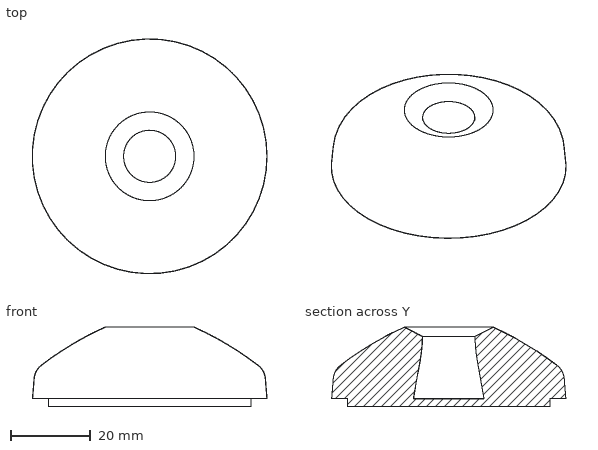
import cadquery as cq
import math

outer_radius = 29.5
total_height = 20.0

spigot_radius = 25.5
spigot_height = 2.0

rim_top_radius = 29.1
rim_top_z = 7.0
dome_edge_radius = 27.25
dome_edge_z = 10.4

recess_radius = 11.15
recess_depth = 2.35
throat_radius = 6.55
throat_depth = 6.15
throat_end_radius = 7.15
bore_draft = math.radians(10.0)
floor_z = spigot_height

recess_floor_z = total_height - recess_depth
throat_end_z = recess_floor_z - throat_depth
floor_radius = throat_end_radius + (throat_end_z - floor_z) * math.tan(bore_draft)

cap_section = (
    cq.Workplane("XZ")
    .lineTo(spigot_radius, 0)
    .lineTo(spigot_radius, spigot_height)
    .lineTo(outer_radius, spigot_height)
    .lineTo(rim_top_radius, rim_top_z)
    .tangentArcPoint((dome_edge_radius, dome_edge_z), relative=False)
    .tangentArcPoint((recess_radius, total_height), relative=False)
    .lineTo(0, total_height)
    .close()
)

cap = cap_section.revolve(360, (0, 0, 0), (0, 1, 0))

cavity_section = (
    cq.Workplane("XZ")
    .moveTo(0, floor_z)
    .lineTo(floor_radius, floor_z)
    .lineTo(throat_end_radius, throat_end_z)
    .tangentArcPoint((throat_radius, recess_floor_z), relative=False)
    .lineTo(recess_radius, total_height)
    .lineTo(0, total_height)
    .close()
)
cavity = cavity_section.revolve(360, (0, 0, 0), (0, 1, 0))

result = cap.cut(cavity)